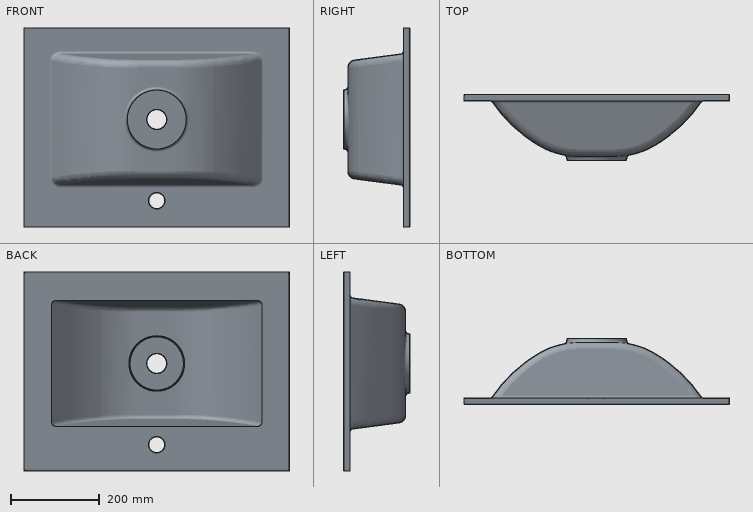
import cadquery as cq
import math

plate_width = 600.0
plate_height = 450.0
plate_thickness = 15.0
plate_edge_radius = 3.0

basin_center_z = 18.0
basin_half_height = 149.0
basin_depth = 140.5
draft_angle = 7.5
basin_edge_radius = 18.0
joint_radius = 6.0
wall_thickness = 8.5

floor_arc_meet = (129.0, -117.0)
floor_flat_half_width = 42.0
rim_half_width = 247.0

basin_limit_x = 270.0
basin_limit_z = 210.0
boss_zone = 90.0
joint_tolerance = 0.5

boss_depth = 150.0
boss_face_radius = 66.5
boss_base_radius = 69.5
boss_base_depth = 138.0
boss_base_fillet = 6.0
boss_root_depth = basin_depth - wall_thickness / 2
drain_radius = 22.0
tap_hole_radius = 18.0
tap_hole_z = -165.5


def make_plate():
    plate = cq.Workplane("XY").box(plate_width, plate_thickness, plate_height)
    plate = plate.translate((0, -plate_thickness / 2, 0))
    return plate.faces(">Y").edges().fillet(plate_edge_radius)


def make_basin_body():
    """Solid basin: the curved floor profile trimmed by the drafted end walls."""
    half_floor = (
        cq.Workplane("XY")
        .lineTo(0, -basin_depth)
        .lineTo(floor_flat_half_width, -basin_depth)
        .tangentArcPoint(floor_arc_meet, relative=False)
        .tangentArcPoint((rim_half_width, 0), relative=False)
        .close()
        .extrude(plate_height / 2, both=True)
        .translate((0, 0, basin_center_z))
    )
    floor = half_floor.union(half_floor.mirror("YZ")).clean()

    slope = math.tan(math.radians(draft_angle))
    rim_half_height = basin_half_height + plate_thickness * slope
    end_half_height = rim_half_height - boss_depth * slope
    ends = (
        cq.Workplane("YZ")
        .polyline([
            (0, basin_center_z - rim_half_height),
            (0, basin_center_z + rim_half_height),
            (-boss_depth, basin_center_z + end_half_height),
            (-boss_depth, basin_center_z - end_half_height),
        ])
        .close()
        .extrude(plate_width / 2, both=True)
    )
    body = floor.intersect(ends)
    end_wall_edges = body.faces(">Z or <Z").edges("not >Y")
    return end_wall_edges.fillet(basin_edge_radius)


def make_drain_cone(top_depth, face_depth, inset):
    """Tapered disc around the drain, reduced in radius by inset."""
    taper = (boss_base_radius - boss_face_radius) / (boss_depth - boss_base_depth)
    top_radius = boss_face_radius - inset + taper * (boss_depth - top_depth)
    face_radius = boss_face_radius - inset + taper * (boss_depth - face_depth)
    cone = cq.Solid.makeCone(
        top_radius, face_radius, face_depth - top_depth,
        pnt=cq.Vector(0, -top_depth, basin_center_z), dir=cq.Vector(0, -1, 0),
    )
    return cq.Workplane(obj=cone)


def make_hole(radius, z):
    return cq.Workplane("XZ").center(0, z).circle(radius).extrude(boss_depth)


body = make_basin_body()
shell = body.faces(">Y").shell(-wall_thickness)
cavity = body.cut(shell)

result = make_plate().union(body)
joint_zone = cq.selectors.BoxSelector(
    (-basin_limit_x, -plate_thickness - joint_tolerance, -basin_limit_z),
    (basin_limit_x, -plate_thickness + joint_tolerance, basin_limit_z),
)
result = result.edges(joint_zone).fillet(joint_radius)

result = result.union(make_drain_cone(boss_root_depth, boss_depth, 0))
boss_foot = cq.selectors.BoxSelector(
    (-boss_zone, -boss_depth + joint_tolerance, basin_center_z - boss_zone),
    (boss_zone, -boss_root_depth, basin_center_z + boss_zone),
)
result = result.edges(boss_foot).edges("not %LINE").fillet(boss_base_fillet)

result = result.cut(cavity)
sump_top_depth = basin_depth - 2 * wall_thickness
result = result.cut(make_drain_cone(sump_top_depth, boss_depth - wall_thickness, wall_thickness))
result = result.cut(make_hole(drain_radius, basin_center_z))
result = result.cut(make_hole(tap_hole_radius, tap_hole_z))